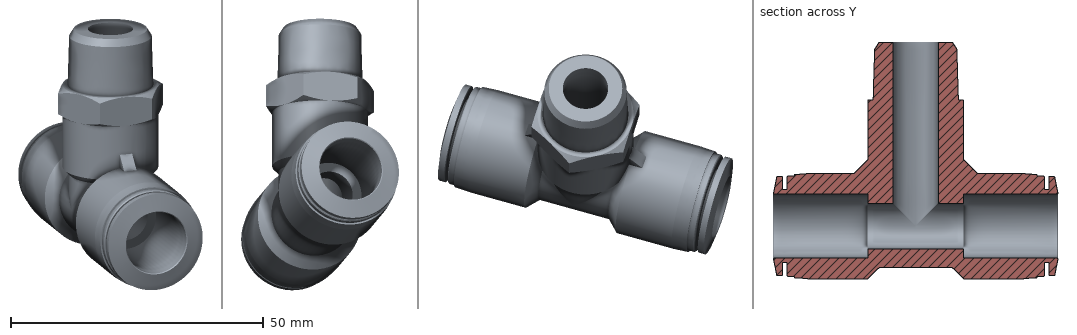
import cadquery as cq
import math

half_length = 28.25
socket_diameter = 21.0
socket_inner_x = 9.5
neck_chamfer = 2.25
neck_radius = socket_diameter / 2 - neck_chamfer
taper_start_x = 21.1
taper_end_x = 24.1
taper_end_diameter = 20.7
collar_diameter = 20.0
collar_end_x = 25.55
collar_chamfer = 0.15
groove_diameter = 14.6
release_ring_diameter = 19.8
release_ring_inner_x = 26.35
release_ring_outer_x = 27.6

bore_diameter = 9.0
tube_bore_diameter = 12.6
mouth_chamfer = 0.15
tube_stop_x = socket_inner_x

column_diameter = 2 * socket_inner_x
column_bottom_z = 8.1
hex_bottom_z = 19.1
hex_height = 5.95
hex_top_z = hex_bottom_z + hex_height
hex_flats = 19.05
hex_corners = hex_flats / math.cos(math.radians(30))
hex_chamfer_angle = 30
thread_base_diameter = 17.0
thread_tip_diameter = 16.4
thread_chamfer_z = 35.1
thread_end_diameter = 14.6
branch_top_z = 36.5

rib_width = 2.6
rib_rise = 2.7


def revolve_about_x(points):
    return cq.Workplane("XY").polyline(points).close().revolve(360, (0, 0, 0), (1, 0, 0))


def revolve_about_z(points):
    return cq.Workplane("XZ").polyline(points).close().revolve(360, (0, 0, 0), (0, 1, 0))


def make_run_half():
    """Outside of the +X half, from the middle of the neck to the release ring."""
    mouth_radius = tube_bore_diameter / 2 + mouth_chamfer
    return revolve_about_x([
        (0, 0),
        (0, neck_radius),
        (socket_inner_x - neck_chamfer, neck_radius),
        (socket_inner_x, socket_diameter / 2),
        (taper_start_x, socket_diameter / 2),
        (taper_end_x, taper_end_diameter / 2),
        (taper_end_x, collar_diameter / 2),
        (collar_end_x - collar_chamfer, collar_diameter / 2),
        (collar_end_x, collar_diameter / 2 - collar_chamfer),
        (collar_end_x, groove_diameter / 2),
        (release_ring_inner_x, groove_diameter / 2),
        (release_ring_inner_x, release_ring_diameter / 2),
        (release_ring_outer_x, release_ring_diameter / 2),
        (half_length, mouth_radius),
        (half_length, 0),
    ])


def make_tube_bore():
    """Socket bore on the +X side with its chamfered mouth."""
    bore_radius = tube_bore_diameter / 2
    return revolve_about_x([
        (tube_stop_x, 0),
        (tube_stop_x, bore_radius),
        (half_length - mouth_chamfer, bore_radius),
        (half_length, bore_radius + mouth_chamfer),
        (half_length, 0),
    ])


def make_column_and_thread():
    column_radius = column_diameter / 2
    shank_top_z = column_bottom_z - (column_radius - neck_radius)
    return revolve_about_z([
        (0, 0),
        (neck_radius, 0),
        (neck_radius, shank_top_z),
        (column_radius, column_bottom_z),
        (column_radius, hex_top_z),
        (thread_base_diameter / 2, hex_top_z),
        (thread_tip_diameter / 2, thread_chamfer_z),
        (thread_end_diameter / 2, branch_top_z),
        (0, branch_top_z),
    ])


def make_hexagon():
    """Hexagon with corners on Y, chamfered conically at both ends."""
    prism = (
        cq.Workplane("XY")
        .workplane(offset=hex_bottom_z)
        .polygon(6, hex_corners)
        .extrude(hex_height)
        .rotate((0, 0, 0), (0, 0, 1), 90)
    )
    flat_radius = hex_flats / 2
    corner_radius = hex_corners / 2
    chamfer_drop = (corner_radius - flat_radius) * math.tan(math.radians(hex_chamfer_angle))
    envelope = revolve_about_z([
        (0, hex_bottom_z),
        (flat_radius, hex_bottom_z),
        (corner_radius, hex_bottom_z + chamfer_drop),
        (corner_radius, hex_top_z - chamfer_drop),
        (flat_radius, hex_top_z),
        (0, hex_top_z),
    ])
    return prism.intersect(envelope)


def make_ribs():
    """One sloped plate through the branch, showing as a 45 degree rib on each side."""
    socket_top_z = socket_diameter / 2
    rib_foot_x = socket_inner_x + rib_rise
    rib_top_z = socket_top_z + rib_rise
    return (
        cq.Workplane("XZ")
        .polyline([
            (-rib_foot_x, neck_radius),
            (-rib_foot_x, socket_top_z),
            (-socket_inner_x, rib_top_z),
            (socket_inner_x, rib_top_z),
            (rib_foot_x, socket_top_z),
            (rib_foot_x, neck_radius),
        ])
        .close()
        .extrude(rib_width / 2, both=True)
    )


run_half = make_run_half()
body = run_half.union(run_half.mirror("YZ"))
body = body.union(make_column_and_thread()).union(make_hexagon()).union(make_ribs())

run_bore = cq.Workplane("YZ").circle(bore_diameter / 2).extrude(half_length, both=True)
branch_bore = cq.Workplane("XY").circle(bore_diameter / 2).extrude(branch_top_z)
tube_bore = make_tube_bore()

result = body.cut(run_bore).cut(branch_bore).cut(tube_bore).cut(tube_bore.mirror("YZ"))